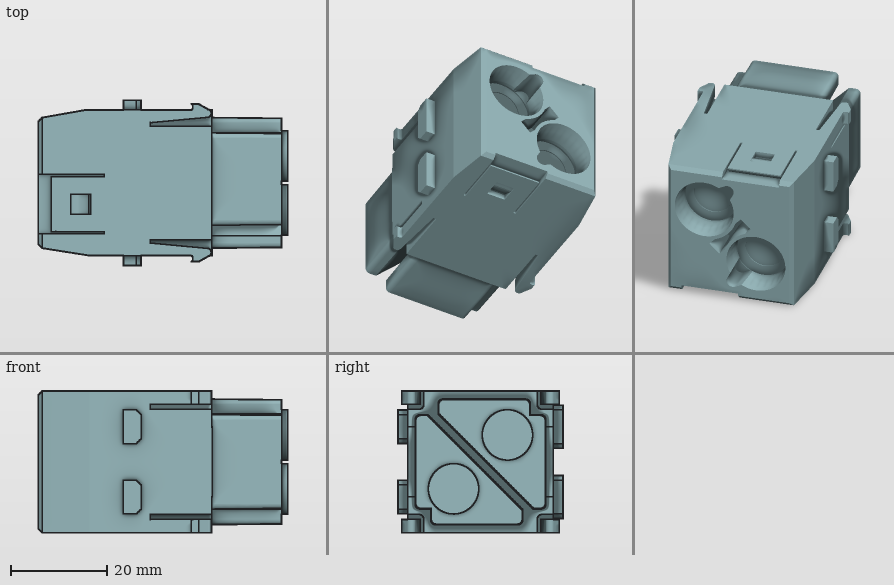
import cadquery as cq
import math

overall_length = 51.75
overall_width = 34.3
housing_length = 35.95
tail_end = 50.45

half_width = 15.1
half_height = 14.7
front_half_width = 13.55
front_chamfer = 0.85
taper_end_left = 9.7
taper_end_right = 10.65

pad_height = 0.15
pad_overlap = 0.5
pad_half_length = 7.25

contact_offset = 5.6
contact_end_radius = 5.25
bore_mouth_radius = 6.35
bore_inner_radius = 5.7
cone_depth = 4.85
lip_depth = 5.6
bore_depth = 6.55
core_radius = 4.15
core_recess = 0.2
key_depth = 6.3
key_radius = 1.35
key_distance = 7.1
key_flare = math.radians(18)
key_angle = 135.0
key_length = 2.6

waist_half_length = 4.8
waist_half_width = 1.5
waist_arc_radius = 7.15
waist_depth = 7.75
waist_angle = 45.0

tail_top = 13.05
tail_side = 13.55
tail_side_half_height = 9.8
tail_top_near = 10.35
tail_top_far = 8.8
tail_round = 1.1
tail_draft = 0.6
slot_offset = 1.15

bar_start = 17.65
bar_end = 21.3
bar_tip = overall_width / 2
bar_overlap = 0.5
bar_center = 7.3
bar_chamfer = 1.0
bar_length_left = 8.95
bar_length_right = 7.0

notch_start = 23.2
notch_wall = 11.75
notch_floor = 10.85
notch_round = 1.1
hook_overlap = 0.5
hook_bottom = 11.9
hook_root = 12.45
hook_step = 32.05
hook_step_bevel = 0.25
hook_root_round = 0.4
hook_tip = 16.35
hook_tip_end = 33.3
hook_nose_start = (35.25, 15.25)
hook_nose_mid = (35.85, 14.55)
hook_nose_end = (35.3, 13.6)

tab_left = 1.75
tab_right = -10.55
tab_slit = 0.45
tab_slit_end = 13.65
tab_depth = 1.35
tab_front = 2.7
tab_lip = 0.25
tab_undercut = 1.0
window_start = 6.75
window_end = 10.85
window_center = -4.45
window_width = 4.15
window_ledge_depth = 0.15
window_ledge_end = 7.9
window_ramp_start = 8.4
window_ramp_start_depth = 0.25
window_ramp_end = 10.5
window_depth = 1.25


def both_ends(shape):
    """The shape together with its copy turned half a turn about X."""
    return [shape, shape.rotate((0, 0, 0), (1, 0, 0), 180)]


def four_corners(shape):
    """The shape mirrored into all four Y/Z corners."""
    left_pair = [shape, shape.mirror("XY")]
    return left_pair + [item.mirror("XZ") for item in left_pair]


def block(x_range, y_range, z_range):
    """Box spanning the three given (low, high) ranges."""
    spans = [high - low for low, high in (x_range, y_range, z_range)]
    corner = (x_range[0], y_range[0], z_range[0])
    return cq.Workplane("XY").box(*spans, centered=False).translate(corner)


def make_housing():
    nose_half_width = front_half_width - front_chamfer
    plan = [
        (0, nose_half_width),
        (front_chamfer, front_half_width),
        (taper_end_left, half_width),
        (housing_length, half_width),
        (housing_length, -half_width),
        (taper_end_right, -half_width),
        (front_chamfer, -front_half_width),
        (0, -nose_half_width),
    ]
    nose_half_height = half_height - front_chamfer
    elevation = [
        (0, nose_half_height),
        (front_chamfer, half_height),
        (housing_length, half_height),
        (housing_length, -half_height),
        (front_chamfer, -half_height),
        (0, -nose_half_height),
    ]
    plan_solid = cq.Workplane("XY").polyline(plan).close().extrude(half_height, both=True)
    elevation_solid = cq.Workplane("XZ").polyline(elevation).close().extrude(half_width, both=True)
    return plan_solid.intersect(elevation_solid)


def make_rear_pad():
    return block(
        (housing_length - pad_overlap, housing_length + pad_height),
        (tail_side, half_width),
        (-pad_half_length, pad_half_length),
    )


def make_tail_block():
    """L-shaped block around the +Y +Z contact, with draft and rounded outer corners."""
    outline = [
        (-tail_top_far, tail_top),
        (tail_top_near, tail_top),
        (tail_top_near, tail_side_half_height),
        (tail_side, tail_side_half_height),
        (tail_side, -tail_side_half_height),
        (slot_offset + tail_side_half_height, -tail_side_half_height),
        (-tail_top_far, slot_offset + tail_top_far),
    ]
    profile = (
        cq.Sketch()
        .polygon(outline + outline[:1])
        .vertices(">X or >Y")
        .fillet(tail_round)
    )
    return (
        cq.Workplane("YZ", origin=(housing_length, 0, 0))
        .placeSketch(profile)
        .extrude(tail_end - housing_length, taper=tail_draft)
    )


def make_contact_end():
    return (
        cq.Workplane("YZ", origin=(tail_end, 0, 0))
        .center(contact_offset, contact_offset)
        .circle(contact_end_radius)
        .extrude(overall_length - tail_end)
    )


def make_bore():
    """Conical bore with a straight lip, a wider cavity and core recess behind it, and its key groove."""
    profile = [
        (0, 0),
        (0, bore_mouth_radius),
        (cone_depth, bore_inner_radius),
        (lip_depth, bore_inner_radius),
        (lip_depth, bore_mouth_radius),
        (bore_depth, bore_mouth_radius),
        (bore_depth, core_radius),
        (bore_depth + core_recess, core_radius),
        (bore_depth + core_recess, 0),
    ]
    bore = cq.Workplane("XY").polyline(profile).close().revolve(360, (0, 0, 0), (1, 0, 0))

    flank_x = key_distance + key_radius * math.sin(key_flare)
    flank_y = key_radius * math.cos(key_flare)
    base_x = flank_x - key_length * math.cos(key_flare)
    base_y = flank_y + key_length * math.sin(key_flare)
    key = (
        cq.Workplane("YZ")
        .moveTo(base_x, base_y)
        .lineTo(flank_x, flank_y)
        .threePointArc((key_distance + key_radius, 0), (flank_x, -flank_y))
        .lineTo(base_x, -base_y)
        .close()
        .extrude(key_depth)
        .rotate((0, 0, 0), (1, 0, 0), key_angle)
    )
    return bore, key


def make_waist_pocket():
    """Pocket lying along the diagonal between the bores, pinched by arcs around them."""
    axis_distance = contact_offset * math.sqrt(2)
    arc_reach = math.sqrt(waist_arc_radius**2 - (axis_distance - waist_half_width) ** 2)
    neck = axis_distance - waist_arc_radius
    return (
        cq.Workplane("YZ")
        .moveTo(-waist_half_length, waist_half_width)
        .lineTo(-arc_reach, waist_half_width)
        .threePointArc((0, neck), (arc_reach, waist_half_width))
        .lineTo(waist_half_length, waist_half_width)
        .lineTo(waist_half_length, -waist_half_width)
        .lineTo(arc_reach, -waist_half_width)
        .threePointArc((0, -neck), (-arc_reach, -waist_half_width))
        .lineTo(-waist_half_length, -waist_half_width)
        .close()
        .extrude(waist_depth)
        .rotate((0, 0, 0), (1, 0, 0), -waist_angle)
    )


def make_bar(center_z, length):
    """Key bar on the +Y side, chamfered at its rear corners."""
    return (
        block(
            (bar_start, bar_end),
            (half_width - bar_overlap, bar_tip),
            (center_z - length / 2, center_z + length / 2),
        )
        .edges("|Y and >X")
        .chamfer(bar_chamfer)
    )


def make_corner_notch():
    """Space around a hook at the +Y +Z corner, with a rounded inner corner."""
    return (
        block(
            (notch_start, housing_length),
            (notch_wall, half_width),
            (notch_floor, half_height),
        )
        .edges("|X and <Y and <Z")
        .fillet(notch_round)
    )


def make_hook():
    """Cantilevered latch hook at the +Y +Z corner."""
    return (
        cq.Workplane("XY", origin=(0, 0, hook_bottom))
        .moveTo(notch_start - hook_overlap, hook_root)
        .lineTo(notch_start - hook_overlap, half_width)
        .lineTo(hook_step - hook_root_round, half_width)
        .radiusArc((hook_step, half_width + hook_root_round), -hook_root_round)
        .lineTo(hook_step, hook_tip - hook_step_bevel)
        .lineTo(hook_step - hook_step_bevel, hook_tip)
        .lineTo(hook_tip_end, hook_tip)
        .lineTo(*hook_nose_start)
        .threePointArc(hook_nose_mid, hook_nose_end)
        .lineTo(notch_start, hook_root)
        .close()
        .extrude(half_height - hook_bottom)
    )


def make_tab_cuts():
    """Front recess with an undercut tab edge, two slits and a ramped window in the top face."""
    floor = half_height - tab_depth
    recess_profile = [
        (0, floor),
        (tab_front + tab_undercut, floor),
        (tab_front, half_height - tab_lip),
        (tab_front, half_height),
        (0, half_height),
    ]
    recess = (
        cq.Workplane("XZ", origin=(0, tab_left, 0))
        .polyline(recess_profile)
        .close()
        .extrude(tab_left - tab_right)
    )
    slits = [
        block((0, tab_slit_end), (low, low + tab_slit), (floor, half_height))
        for low in (tab_right, tab_left - tab_slit)
    ]
    window_profile = [
        (window_start, half_height),
        (window_start, half_height - window_ledge_depth),
        (window_ledge_end, half_height - window_ledge_depth),
        (window_ramp_start, half_height - window_ramp_start_depth),
        (window_ramp_end, half_height - window_depth),
        (window_end, half_height - window_depth),
        (window_end, half_height),
    ]
    window = (
        cq.Workplane("XZ", origin=(0, window_center + window_width / 2, 0))
        .polyline(window_profile)
        .close()
        .extrude(window_width)
    )
    return [recess, *slits, window]


body = make_housing()

for notch in four_corners(make_corner_notch()):
    body = body.cut(notch)
for hook in four_corners(make_hook()):
    body = body.union(hook)

for side_z in (-bar_center, bar_center):
    body = body.union(make_bar(side_z, bar_length_left))
    body = body.union(make_bar(side_z, bar_length_right).mirror("XZ"))

for addition in (make_rear_pad(), make_tail_block(), make_contact_end()):
    for copy in both_ends(addition):
        body = body.union(copy)

for cutter in make_bore():
    for copy in both_ends(cutter.translate((0, contact_offset, contact_offset))):
        body = body.cut(copy)
body = body.cut(make_waist_pocket())

for cutter in make_tab_cuts():
    for copy in both_ends(cutter):
        body = body.cut(copy)

result = body